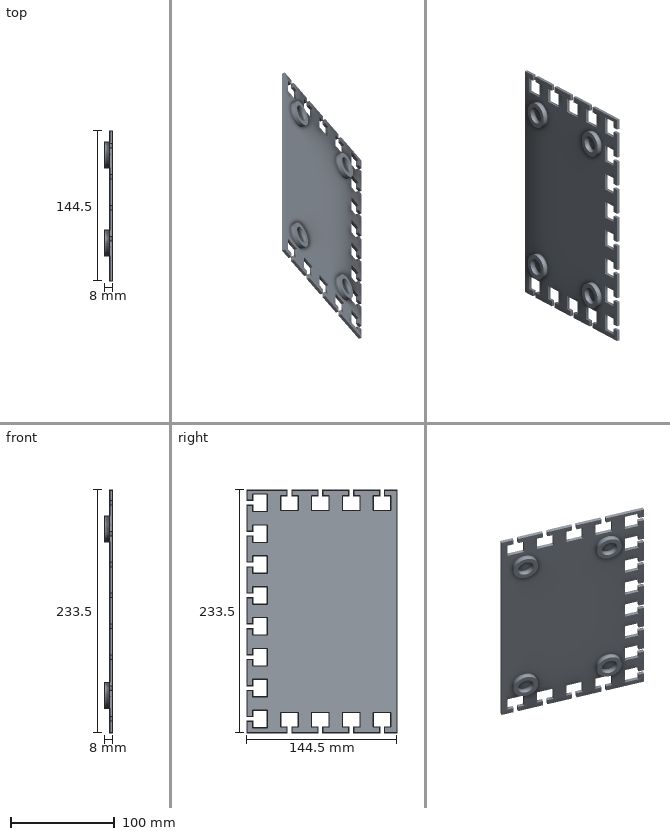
import cadquery as cq

height = 233.5
width = 144.5
depth = 8.0

plate_thickness = 3.0
ring_height = depth - plate_thickness

neck_width = 4.5
neck_length = 5.5
pocket_width = 16.5
pocket_length = 13.8

side_slot_count = 8
side_slot_top_inset = 12.1
side_slot_bottom_inset = 13.3
slot_pitch = (height - side_slot_top_inset - side_slot_bottom_inset) / (side_slot_count - 1)

end_slot_count = 4
end_slot_inset = 14.5

ring_diameter = 25.0
bore_rim_diameter = 15.9
bore_floor_diameter = 14.7
ring_spacing_y = 84.8
ring_spacing_z = 160.2
ring_inset_y = 23.1
ring_inset_z = 37.4


def slot_cutter(y, z, angle):
    """T-slot from edge point (y, z), running inward along +Z turned by angle about X."""
    neck = cq.Workplane("XY").box(depth, neck_width, neck_length, centered=(True, True, False))
    pocket = (
        cq.Workplane("XY", origin=(0, 0, neck_length))
        .box(depth, pocket_width, pocket_length, centered=(True, True, False))
    )
    cutter = neck.union(pocket)
    return cutter.rotate((0, 0, 0), (1, 0, 0), angle).translate((0, y, z))


def mounting_ring(y, z):
    """Ring from the front of the part to the plate face, with a tapered bore."""
    ring = cq.Workplane("YZ").circle(ring_diameter / 2).extrude(ring_height)
    bore = (
        cq.Workplane("YZ")
        .circle(bore_rim_diameter / 2)
        .workplane(offset=ring_height)
        .circle(bore_floor_diameter / 2)
        .loft()
    )
    return ring.cut(bore).translate((-depth / 2, y, z))


plate = (
    cq.Workplane("XY", origin=(-depth / 2 + ring_height, 0, 0))
    .box(plate_thickness, width, height, centered=(False, True, True))
)

for i in range(end_slot_count):
    slot_y = width / 2 - end_slot_inset - i * slot_pitch
    plate = plate.cut(slot_cutter(slot_y, height / 2, 180))
    plate = plate.cut(slot_cutter(slot_y, -height / 2, 0))

for i in range(side_slot_count):
    slot_z = height / 2 - side_slot_top_inset - i * slot_pitch
    plate = plate.cut(slot_cutter(-width / 2, slot_z, -90))

result = plate
for i in range(2):
    for j in range(2):
        ring_y = width / 2 - ring_inset_y - i * ring_spacing_y
        ring_z = height / 2 - ring_inset_z - j * ring_spacing_z
        result = result.union(mounting_ring(ring_y, ring_z))